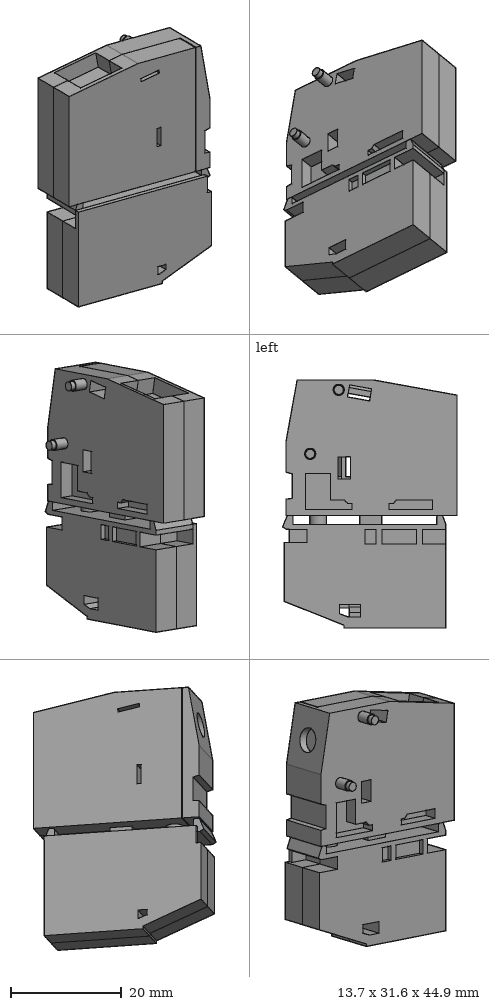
import cadquery as cq
import math

thickness = 10.0
split_x = thickness / 2
wall = 0.95
strip_x = thickness - wall
clearance = 0.2

upper_bottom = 20.35
top_z = 44.9
front_top_z = 42.15
slope_back_y = 15.1
slope_angle = math.degrees(math.atan2(top_z - front_top_z, slope_back_y))
upper_back_y = 31.0
back_top_y = 28.95
back_knee_z = 33.75
back_angle = math.degrees(math.atan2(upper_back_y - back_top_y, top_z - back_knee_z))
back_block_y = 27.9

lower_front_y = 2.0
lower_back_y = 31.3
latch_tip_y = 31.6
strip_bottom = 17.85
strip_top = 18.75
notch_y = 30.4
notch_bottom = 15.5

window_length = 4.05
window_height = 2.2
barb_depth = 1.0


def prism(points, x_start, x_end):
    """Extrude a YZ outline from x_start to x_end."""
    return cq.Workplane("YZ", origin=(x_start, 0, 0)).polyline(points).close().extrude(x_end - x_start)


def block(x_range, y_range, z_range):
    """Axis-aligned box given by its limits."""
    size = [high - low for low, high in (x_range, y_range, z_range)]
    corner = (x_range[0], y_range[0], z_range[0])
    return cq.Workplane("XY", origin=corner).box(*size, centered=False)


def place(tool, angle, centre):
    """Turn a tool built around the X axis by angle and move it to centre (y, z)."""
    return tool.rotate((0, 0, 0), (1, 0, 0), angle).translate((0, *centre))


side_window_place = (-90, (20.45, 28.95))
side_window_barb = 0.6
side_window_gap = 0.8
side_window_ledge = 0.45
top_window_place = (slope_angle, (17.65, 42.55))
top_window_barb = 0.5
top_window_gap = 0.65


def window_tool():
    """Opening through the left half."""
    half_length = window_length / 2
    half_height = window_height / 2
    return block((0, split_x), (-half_length, half_length), (-half_height, half_height))


def hook_tool(barb, gap, ledge):
    """Relief in the right half that leaves a barbed hook behind the window.

    barb is the height of the sloping nose, gap the height of the opening below the hook,
    and ledge the length at the +Y end which the opening and the slope leave out.
    """
    half_length = window_length / 2
    half_height = window_height / 2
    hook_end = half_length - ledge
    opening = block((split_x, thickness), (-half_length, hook_end), (-half_height, gap - half_height))
    nose = (
        cq.Workplane("XZ", origin=(0, hook_end, 0))
        .moveTo(split_x, half_height - barb)
        .lineTo(split_x + barb_depth, half_height)
        .lineTo(split_x, half_height)
        .close()
        .extrude(hook_end + half_length)
    )
    tool = opening.union(nose)
    if ledge > 0:
        step = block(
            (split_x, split_x + barb_depth),
            (hook_end, half_length),
            (half_height - barb, half_height),
        )
        tool = tool.union(step)
    return tool


top_recess_front = 3.15
top_recess_length = 9.2
top_recess_left = 0.75
top_recess_depth = 3.0


def top_recess():
    front_z = front_top_z + top_recess_front * math.tan(math.radians(slope_angle))
    recess = block(
        (top_recess_left, strip_x),
        (0, top_recess_length),
        (-top_recess_depth, top_recess_depth),
    )
    return place(recess, slope_angle, (top_recess_front, front_z))


back_notch_y = 29.85
back_notch = [(upper_back_y, 28.2), (back_notch_y, 27.9), (back_notch_y, 23.5), (upper_back_y, 23.35)]
pocket_depth = 2.7
step_pocket_back = 27.4
step_pocket_middle = 22.95
step_pocket_front = 19.0
step_pocket_top = 27.95
flat_pocket_back = 12.35
flat_pocket_front = 4.5
pocket_floor = 21.4
pocket_top = 23.2
pocket_lip = 22.55
step_pocket = [
    (step_pocket_back, pocket_floor),
    (step_pocket_back, step_pocket_top),
    (step_pocket_middle, step_pocket_top),
    (step_pocket_middle, pocket_top),
    (20.47, pocket_top),
    (19.8, pocket_lip),
    (step_pocket_front, pocket_lip),
    (step_pocket_front, pocket_floor),
]
flat_pocket = [
    (flat_pocket_back, pocket_floor),
    (flat_pocket_back, pocket_lip),
    (11.5, pocket_lip),
    (10.95, pocket_top),
    (flat_pocket_front, pocket_top),
    (flat_pocket_front, pocket_floor),
]
pin_places = [(21.4, 43.1), (26.6, 31.5)]
pin_diameter = 2.0
pin_length = 2.7
pin_tip_diameter = 1.65
pin_tip_length = 1.0
round_recess_diameter = 4.5
round_recess_depth = 1.53
round_recess_z = 39.05


def coupling_pin(y, z):
    """Stepped pin standing out of the left face."""
    length = pin_length + pin_tip_length
    tip = cq.Workplane("YZ", origin=(-length, y, z)).circle(pin_tip_diameter / 2).extrude(length)
    shank = cq.Workplane("YZ", origin=(-pin_length, y, z)).circle(pin_diameter / 2).extrude(pin_length)
    return shank.union(tip)


def round_recess():
    """Blind round recess square to the sloping back."""
    tilt = math.radians(back_angle)
    centre_y = upper_back_y - (round_recess_z - back_knee_z) * math.tan(tilt)
    plane = cq.Plane(
        origin=(split_x, centre_y, round_recess_z),
        xDir=(1, 0, 0),
        normal=(0, math.cos(tilt), math.sin(tilt)),
    )
    return cq.Workplane(plane).circle(round_recess_diameter / 2).extrude(-round_recess_depth)


def make_upper_left():
    outline = [
        (0, upper_bottom),
        (0, front_top_z),
        (slope_back_y, top_z),
        (back_top_y, top_z),
        (upper_back_y, back_knee_z),
        *back_notch,
        (upper_back_y, upper_bottom),
    ]
    body = prism(outline, 0, thickness)
    body = body.cut(block((split_x, thickness), (0, back_block_y), (upper_bottom, top_z)))
    for pocket in (step_pocket, flat_pocket):
        body = body.cut(prism(pocket, 0, pocket_depth))
    for window_place in (side_window_place, top_window_place):
        body = body.cut(place(window_tool(), *window_place))
    body = body.cut(top_recess()).cut(round_recess())
    for y, z in pin_places:
        body = body.union(coupling_pin(y, z))
    return body


def make_upper_right():
    back_y = back_block_y - clearance
    outline = [
        (0, upper_bottom),
        (0, front_top_z),
        (slope_back_y, top_z),
        (back_y, top_z),
        (back_y, upper_bottom),
    ]
    side_hook = hook_tool(side_window_barb, side_window_gap, side_window_ledge)
    top_hook = hook_tool(top_window_barb, top_window_gap, 0)
    return (
        prism(outline, split_x, thickness)
        .cut(top_recess())
        .cut(place(side_hook, *side_window_place))
        .cut(place(top_hook, *top_window_place))
    )


opening_bottom = 15.18
front_opening_depth = 6.25
rear_opening_front = 27.15


def lower_openings():
    """Openings under the strip at the front and at the rear latch."""
    front = block((0, strip_x), (0, front_opening_depth), (opening_bottom, strip_bottom))
    rear = block((0, strip_x), (rear_opening_front, latch_tip_y), (notch_bottom, strip_bottom))
    return front.union(rear)


lower_knee_z = 4.8
toe_y = 20.47
toe_height = 0.5
lower_base = [
    (lower_back_y, notch_bottom),
    (lower_back_y, lower_knee_z),
    (toe_y, toe_height),
    (toe_y, 0),
    (lower_front_y, 0),
]

low_window_back = 21.25
low_window_front = 17.5
low_window_bottom = 2.0
low_window_top = 4.2
low_window_slant = [(19.7, low_window_bottom), (low_window_back, 2.6)]
low_hook_back = 19.55
low_hook_top = 3.75
low_hook_bottom = 2.85
low_hook_step = 0.45
low_gap_top = 3.6


def low_window_outline(front, top):
    return [(front, low_window_bottom), *low_window_slant, (low_window_back, top), (front, top)]


def low_hook_tool():
    """Opening behind the hook, its sloping top edge and the step below it."""
    gap = prism(low_window_outline(low_hook_back, low_gap_top), split_x, thickness)
    nose = (
        cq.Workplane("XZ", origin=(0, low_hook_back, 0))
        .moveTo(split_x, low_hook_top)
        .lineTo(split_x + barb_depth, low_window_top)
        .lineTo(split_x, low_window_top)
        .close()
        .extrude(low_hook_back - low_window_front)
    )
    step = block(
        (split_x, split_x + low_hook_step),
        (low_window_front, low_hook_back),
        (low_window_bottom, low_hook_bottom),
    )
    return gap.union(nose).union(step)


side_recesses = [(14.7, 16.7), (7.3, 13.6)]
latch_rounding = 0.22
front_latch_inner = 3.7
front_latch_outer = 2.6
rear_latch_inner = 29.7
rear_latch_outer = 30.75
rear_latch_heel = 30.9
latch_tip_z = 18.27
post_y = 25.15
post_diameter = 3.1
key_size = 4.05
key_y = 15.63


def strip_with_latches():
    """Full-width strip with a latch at each end, reaching up to the upper housing."""
    outline = [
        (lower_front_y, strip_bottom),
        (lower_front_y, strip_top),
        (front_latch_outer, upper_bottom),
        (front_latch_inner, upper_bottom),
        (front_latch_inner, strip_top),
        (rear_latch_inner, strip_top),
        (rear_latch_inner, upper_bottom),
        (rear_latch_outer, upper_bottom),
        (latch_tip_y, latch_tip_z),
        (rear_latch_heel, strip_bottom),
    ]
    strip = prism(outline, 0, strip_x)
    return strip.edges("|X").edges(">Z").fillet(latch_rounding)


def make_lower_left():
    outline = [
        *lower_base,
        (lower_front_y, strip_bottom),
        (notch_y, strip_bottom),
        (notch_y, notch_bottom),
    ]
    body = prism(outline, 0, split_x).cut(lower_openings())
    for front, back in side_recesses:
        body = body.cut(block((0, wall), (front, back), (opening_bottom, strip_bottom)))
    body = body.cut(prism(low_window_outline(low_window_front, low_window_top), 0, split_x))
    gap_height = upper_bottom - strip_top
    on_strip = cq.Workplane("XY", origin=(split_x, 0, strip_top))
    post = on_strip.center(0, post_y).circle(post_diameter / 2).extrude(gap_height)
    key = on_strip.center(0, key_y).rect(key_size, key_size).extrude(gap_height)
    return body.union(strip_with_latches()).union(post).union(key)


def make_lower_right():
    outline = [
        *lower_base,
        (lower_front_y, strip_top),
        (notch_y, strip_top),
        (notch_y, notch_bottom),
    ]
    strip_space = block((0, strip_x), (0, latch_tip_y), (strip_bottom - clearance, strip_top))
    return (
        prism(outline, split_x, thickness)
        .cut(strip_space)
        .cut(lower_openings())
        .cut(low_hook_tool())
    )


upper_left = make_upper_left()
upper_right = make_upper_right()
lower_left = make_lower_left()
lower_right = make_lower_right()

result = cq.Compound.makeCompound(
    [upper_left.val(), upper_right.val(), lower_left.val(), lower_right.val()]
)